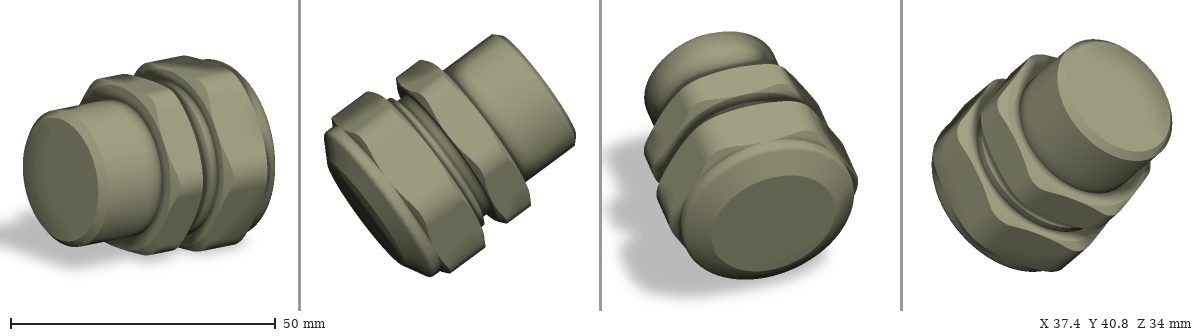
import cadquery as cq
import math


length = 40.8
body_nut_start = 14.05
body_nut_end = 21.45
shoulder_start = 23.45
shoulder_full = 24.15
cap_nut_start = 25.75
cap_nut_end = 35.82
dome_edge = 38.05

body_nut_flats = 31.65
body_nut_corner_radius = 4.98
cap_nut_flats = 34.0
cap_nut_corner_radius = 6.0
nut_chamfer_angle = 30.0

thread_radius = 13.15
thread_chamfer = 1.3
neck_radius = 13.63
shoulder_radius = 14.97
collar_radius = cap_nut_flats / 2
dome_end_radius = 12.25
dome_edge_fillet = 1.0


def hex_nut(start, end, flats, corner_radius):
    """Hexagon along Y with flats facing +Z and -Z, rounded corners and conical chamfers on both faces."""
    thickness = end - start
    corner_diameter = flats / math.cos(math.pi / 6)
    prism = (
        cq.Workplane("XZ", origin=(0, start, 0))
        .polygon(6, corner_diameter)
        .extrude(-thickness)
        .edges("|Y")
        .fillet(corner_radius)
    )

    flat_radius = flats / 2
    outer_radius = corner_diameter / 2
    slope_depth = (outer_radius - flat_radius) * math.tan(math.radians(nut_chamfer_angle))
    envelope = (
        cq.Workplane("XY")
        .moveTo(0, start)
        .lineTo(flat_radius, start)
        .lineTo(outer_radius, start + slope_depth)
        .lineTo(outer_radius, end - slope_depth)
        .lineTo(flat_radius, end)
        .lineTo(0, end)
        .close()
        .revolve(360, (0, 0, 0), (0, 1, 0))
    )
    return prism.intersect(envelope)


def body():
    """Threaded end, neck and shoulder, turned about the Y axis up to the cap nut."""
    return (
        cq.Workplane("XY")
        .moveTo(0, 0)
        .lineTo(thread_radius - thread_chamfer, 0)
        .lineTo(thread_radius, thread_chamfer)
        .lineTo(thread_radius, body_nut_end)
        .lineTo(neck_radius, body_nut_end)
        .lineTo(neck_radius, shoulder_start)
        .lineTo(shoulder_radius, shoulder_full)
        .lineTo(shoulder_radius, cap_nut_start)
        .lineTo(0, cap_nut_start)
        .close()
        .revolve(360, (0, 0, 0), (0, 1, 0))
    )


def dome():
    """Collar behind the cap nut, closing with a cone whose outer edge is rounded."""
    turned = (
        cq.Workplane("XY")
        .moveTo(0, cap_nut_end)
        .lineTo(collar_radius, cap_nut_end)
        .lineTo(collar_radius, dome_edge)
        .lineTo(dome_end_radius, length)
        .lineTo(0, length)
        .close()
        .revolve(360, (0, 0, 0), (0, 1, 0))
    )
    return turned.faces("%CYLINDER").edges(">Y").fillet(dome_edge_fillet)


body_nut = hex_nut(body_nut_start, body_nut_end, body_nut_flats, body_nut_corner_radius)
cap_nut = hex_nut(cap_nut_start, cap_nut_end, cap_nut_flats, cap_nut_corner_radius)

result = body().union(body_nut).union(cap_nut).union(dome())